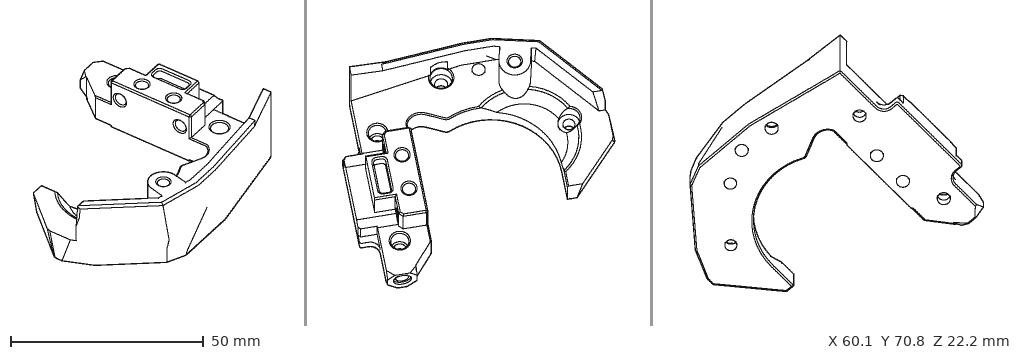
import cadquery as cq
import math

plate_top = 7.8
block_top = 15.2
wall_top = 18.9
wall_tip = 22.19
ridge_z = 10.7
heel_z = 5.3
edge_break = 0.45
base_z = edge_break
tool_size = 200.0
overlap = 1.0
tolerance = 0.1
core_point = (46.0, -40.0, 5.0)

bar_end_width = 7.8
bar_width = 13.1
bar_taper_start = 2.0
bar_taper_end = 8.5
top_corner_cut = (1.8, 1.9, 1.9)
base_corner_cut = (3.1, 3.1, 3.1)

side_x = 60.13
tip_x = 54.9
crest_y = -8.65
ridge_back = (side_x, -30.4, ridge_z)
side_foot = (59.7, -34.0, base_z)
ridge_front = (side_x, -37.8, ridge_z)
corner_toe = (59.7, -45.6, 1.7)
heel_right = (57.25, -50.85, heel_z)
heel_left = (42.6, -62.5, heel_z)
top_back = (58.3, ridge_back[1], wall_top)
top_mid = (58.3, -38.3, wall_top)
top_corner = (55.45, -50.3, wall_top)
top_left = (38.5, -64.15, 16.2)
foot_left = (35.1, -65.6, 2.5)
nose_y_top = -65.0
nose_y_base = -65.88
hook_x = 17.66
hook_corner_top = (hook_x, -54.7, plate_top)
hook_corner_base = (hook_x, -53.2, base_z)
hook_bevel_end = (28.9, -64.6, plate_top)
nose_left_top = (30.0, nose_y_top, plate_top)
nose_left_base = (32.3, nose_y_base, base_z)
nose_right_base = (34.2, nose_y_base, base_z)

wall_thickness = 2.45
wall_end_x = 37.9
wall_rim_break = 0.6

throat_center = (25.85, -32.0)
throat_radius = 18.65
throat_start_y = -23.6
throat_start = (throat_center[0] + math.sqrt(throat_radius**2 - (throat_start_y - throat_center[1])**2),
                throat_start_y)
throat_mid_angle = math.radians(-30)
throat_mid = (throat_center[0] + throat_radius * math.cos(throat_mid_angle),
              throat_center[1] + throat_radius * math.sin(throat_mid_angle))
throat_bottom = throat_center[1] - throat_radius
notch_start = (43.4, -bar_width)
notch_end = (45.15, -18.2)
nib_radius = 1.5
shoulder_radius = 0.5
rim_break = 0.35

recess_center = (33.95, -42.3)
recess_floor_z = 4.7
recess_floor_radius = 11.3
recess_top_radius = 14.5

block_left = 13.05
block_right = 38.5
block_back = -5.5
block_corner = 1.0
bolt_xs = (16.2, 35.1)
bolt_z = 10.2
head_diameter = 5.8
neck_left = bolt_xs[0] + head_diameter / 2
neck_right = bolt_xs[1] - head_diameter / 2
neck_back = -0.1
slot_center = ((neck_left + neck_right) / 2, -3.35)
slot_length = 10.0
slot_width = 3.2
slot_corner = 0.9
slot_depth = 3.0

tongue_back = 4.92
flange_left = 13.3
flange_right = 38.4
flange_top = 3.0
flange_fillet = 2.6
tongue_corner = 0.6
rail_left = 15.2
rail_right = 36.65

screw_diameter = 3.4
post_screw_diameter = 3.2
recess_screw_diameter = 3.1
insert_diameter = 4.7
insert_depth = 5.0
head_floor_z = 4.0
hole_bevel = 0.4
insert_centers = ((9.8, -5.0), (42.05, -5.0))
block_hole_centers = ((20.65, -9.43), (30.65, -9.43))
wall_screw_center = (54.9, -24.2)
wall_screw_clearance_z = 12.0
wall_hole_center = (55.5, -34.2)
recess_screw_center = (37.4, -54.7)
end_hole_center = (-3.9, 4.65)
end_hole_depth = 6.0
end_counterbore_depth = 0.6

post_center = (50.5, -42.8)
post_radius = 4.1
post_web_length = 12.0


def trim(solid, points, inset=0.0, core=core_point):
    """Keep the side of the plane through three points that holds the core; inset moves the plane inward."""
    a, b, c = (cq.Vector(*point) for point in points)
    normal = (b - a).cross(c - a).normalized()
    if (cq.Vector(*core) - a).dot(normal) > 0:
        normal = -normal
    plane = cq.Plane(origin=a - normal * inset, normal=normal)
    return solid.cut(cq.Workplane(plane).rect(tool_size, tool_size).extrude(tool_size))


def below(point):
    """The point on the plate underside level directly below the given one."""
    return (point[0], point[1], 0.0)


def box(x0, x1, y0, y1, z0, z1):
    return cq.Workplane("XY").box(x1 - x0, y1 - y0, z1 - z0, centered=False).translate((x0, y0, z0))


def cylinder(center, diameter, z0, z1):
    return cq.Workplane("XY").workplane(offset=z0).center(*center).circle(diameter / 2).extrude(z1 - z0)


def cone(center, z0, radius0, z1, radius1):
    solid = cq.Solid.makeCone(radius0, radius1, z1 - z0, cq.Vector(*center, z0))
    return cq.Workplane(obj=solid)


def bevelled_hole(center, diameter, z0, z1):
    """Vertical hole with a bevelled mouth at its top."""
    mouth = cone(center, z1 - hole_bevel, diameter / 2, z1, diameter / 2 + hole_bevel)
    return cylinder(center, diameter, z0, z1).union(mouth)


tip_base = (tip_x, 0.0, 0.0)
tip_crest = (tip_x, 0.0, wall_tip)
flank_planes = (
    (tip_base, tip_crest, ridge_back),
    (tip_crest, ridge_back, top_back),
    (ridge_back, ridge_front, side_foot),
    (ridge_back, ridge_front, top_back),
    (top_mid, top_corner, corner_toe),
    (corner_toe, heel_right, below(heel_right)),
    (heel_right, heel_left, top_corner),
    (heel_right, heel_left, below(heel_left)),
)

nose_planes = (
    (heel_left, top_left, foot_left),
    (nose_left_top, nose_left_base, nose_right_base),
    (hook_bevel_end, nose_left_top, nose_left_base),
    (hook_corner_top, hook_corner_base, hook_bevel_end),
)


def make_shell():
    """Faceted outer shape with the sloping crest of the wall, wider than the part to the left."""
    shell = box(-tool_size / 2, tool_size, -tool_size, tongue_back, 0, wall_tip)
    for points in flank_planes + nose_planes:
        shell = trim(shell, points)
    crest = (
        cq.Workplane("YZ")
        .polyline([
            (-tool_size, wall_top),
            (crest_y, wall_top),
            (0, wall_tip),
            (tongue_back, wall_tip),
            (tongue_back, tool_size),
            (-tool_size, tool_size),
        ])
        .close()
        .extrude(tool_size, both=True)
    )
    shell = shell.cut(crest)
    rim = shell.edges(cq.selectors.BoxSelector(
        (wall_end_x, nose_y_base, wall_top - tolerance),
        (side_x, crest_y - overlap, wall_top + tolerance)))
    return rim.chamfer(wall_rim_break)


def make_cavity():
    """Space inside the wall: the flank planes moved inward by the wall thickness."""
    cavity = box(-tool_size / 2, tool_size, -tool_size, tongue_back, 0, tool_size)
    for points in flank_planes:
        cavity = trim(cavity, points, wall_thickness)
    return cavity


def make_wall(shell):
    """Thin wall standing on the plate, between the shell and the cavity."""
    room = box(wall_end_x, side_x, nose_y_base, 0, plate_top - overlap, wall_tip)
    return shell.intersect(room).cut(make_cavity())


def make_plate(shell):
    """C-shaped base plate with the tongue, its outer side bounded by the shell."""
    outline = (
        cq.Workplane("XY")
        .moveTo(0, 0)
        .lineTo(side_x, 0)
        .lineTo(side_x, nose_y_base - overlap)
        .lineTo(hook_x, nose_y_base - overlap)
        .lineTo(hook_x, throat_bottom)
        .lineTo(throat_center[0], throat_bottom)
        .threePointArc(throat_mid, throat_start)
        .lineTo(*notch_end)
        .tangentArcPoint(notch_start, relative=False)
        .lineTo(bar_taper_end, -bar_width)
        .lineTo(bar_taper_start, -bar_end_width)
        .lineTo(0, -bar_end_width)
        .close()
    )
    plate = outline.extrude(plate_top)
    plate = plate.edges(cq.NearestToPointSelector((*throat_start, plate_top / 2))).fillet(nib_radius)
    plate = plate.edges(cq.NearestToPointSelector((*notch_start, plate_top / 2))).fillet(shoulder_radius)
    plate = plate.intersect(shell).union(make_tongue())
    plate = plate.faces("<Z").chamfer(edge_break)
    inner_side = cq.selectors.BoxSelector(
        (bar_taper_end, throat_bottom - overlap, plate_top - overlap),
        (notch_end[0] + overlap, -bar_width + tolerance, plate_top + overlap))
    return plate.faces(">Z").edges(inner_side).chamfer(rim_break)


def make_tongue():
    """Wide low flange with a narrower rail on top, flared where it leaves the bar."""
    def flare(x, direction):
        far_x = x + direction * flange_fillet
        corner = box(min(x, far_x), max(x, far_x), 0, flange_fillet, 0, flange_top)
        return corner.cut(cylinder((far_x, flange_fillet), 2 * flange_fillet, 0, flange_top))

    flange = box(flange_left, flange_right, -overlap, tongue_back, 0, flange_top)
    rail = box(rail_left, rail_right, -overlap, tongue_back, 0, plate_top)
    flange = flange.edges("|Z and >Y").fillet(tongue_corner)
    rail = rail.edges("|Z and >Y").chamfer(tongue_corner)
    return flange.union(rail).union(flare(flange_left, -1)).union(flare(flange_right, 1))


def make_recess():
    """Conical recess with a bevelled rim."""
    bowl = cone(recess_center, recess_floor_z, recess_floor_radius, plate_top, recess_top_radius)
    rim = cone(recess_center, plate_top - rim_break, recess_top_radius - rim_break,
               plate_top, recess_top_radius + rim_break)
    return bowl.union(rim)


def make_block():
    """Raised block with a narrower neck behind it."""
    front = box(block_left, block_right, -bar_width, block_back, 0, block_top)
    front = front.edges("|Z and >Y").chamfer(block_corner)
    front = front.edges("|Z and <Y").chamfer(edge_break)
    neck = box(neck_left, neck_right, block_back - overlap, neck_back, 0, block_top)
    block = front.union(neck)
    return block.faces(">Z").edges("not >Y").chamfer(edge_break)


def make_post():
    """Screw post tied to the wall by a web square to the wall's corner facet."""
    edge = (cq.Vector(*top_corner) - cq.Vector(*top_mid)).normalized()
    web_angle = math.degrees(math.atan2(edge.x, -edge.y))
    web = box(0, post_web_length, -post_radius, post_radius, recess_floor_z, wall_top)
    web = web.rotate((0, 0, 0), (0, 0, 1), web_angle).translate((*post_center, 0))
    return cylinder(post_center, 2 * post_radius, recess_floor_z, wall_top).union(web)


def bolt_cut(x):
    """Horizontal bolt hole through the block with a head clearance trough behind it."""
    def rod(diameter, y_front, y_back):
        return cq.Workplane("XZ", origin=(x, y_back, bolt_z)).circle(diameter / 2).extrude(y_back - y_front)

    mouth_radius = screw_diameter / 2
    mouth_center = cq.Vector(x, -bar_width, bolt_z)
    backward = cq.Vector(0, 1, 0)
    bevel = cq.Solid.makeCone(mouth_radius + hole_bevel, mouth_radius, hole_bevel, mouth_center, backward)
    mouth = cq.Workplane(obj=bevel)
    hole = rod(screw_diameter, -bar_width, block_back).union(mouth)
    return hole.union(rod(head_diameter, block_back, tongue_back))


def make_slot():
    """Shallow rounded pocket in the top of the neck."""
    pocket = (
        cq.Workplane("XY", origin=(*slot_center, block_top - slot_depth))
        .rect(slot_length, slot_width)
        .extrude(slot_depth)
        .edges("|Z")
        .fillet(slot_corner)
    )
    bevel_taper = -45.0
    rim = (
        cq.Workplane("XY", origin=(*slot_center, block_top - edge_break))
        .sketch()
        .rect(slot_length, slot_width)
        .vertices()
        .fillet(slot_corner)
        .finalize()
        .extrude(edge_break, taper=bevel_taper)
    )
    return pocket.union(rim)


def cut_bar_end(part):
    """Trim the four corners of the bar end and drill it lengthwise."""
    for y, inward in ((0, -1), (-bar_end_width, 1)):
        for z, rise, setback in ((0, 1, base_corner_cut), (plate_top, -1, top_corner_cut)):
            x_in = setback[0]
            y_in = y + inward * setback[1]
            z_in = z + rise * setback[2]
            corner = box(0, x_in, min(y, y_in), max(y, y_in), min(z, z_in), max(z, z_in))
            kept = trim(corner, ((x_in, y, z), (0, y_in, z), (0, y, z_in)), core=(x_in, y_in, z_in))
            part = part.cut(corner.cut(kept))
    drill = cq.Workplane("YZ").center(*end_hole_center)
    part = part.cut(drill.circle(screw_diameter / 2).extrude(end_hole_depth))
    return part.cut(drill.circle(insert_diameter / 2).extrude(end_counterbore_depth))


def drill_holes(part):
    """All the screw holes except the one under the wall and the one in the bar end."""
    for x in bolt_xs:
        part = part.cut(bolt_cut(x))
    for center in insert_centers:
        part = part.cut(cylinder(center, screw_diameter, 0, plate_top))
        part = part.cut(bevelled_hole(center, insert_diameter, plate_top - insert_depth, plate_top))
    for center in block_hole_centers:
        part = part.cut(bevelled_hole(center, screw_diameter, 0, block_top))
    part = part.cut(bevelled_hole(post_center, post_screw_diameter, 0, wall_top))
    part = part.cut(cylinder(wall_hole_center, screw_diameter, 0, plate_top))
    part = part.cut(cylinder(recess_screw_center, recess_screw_diameter, 0, plate_top))
    return part.cut(bevelled_hole(recess_screw_center, head_diameter, head_floor_z, plate_top))


def cut_wall_screw(part):
    """Counterbored hole under the leaning wall, its head clearance ending in a cone inside the wall."""
    part = part.cut(cylinder(wall_screw_center, screw_diameter, 0, plate_top))
    part = part.cut(bevelled_hole(wall_screw_center, head_diameter, head_floor_z, plate_top))
    part = part.cut(cylinder(wall_screw_center, head_diameter, plate_top, wall_screw_clearance_z))
    cone_top = wall_screw_clearance_z + head_diameter / 2
    return part.cut(cone(wall_screw_center, wall_screw_clearance_z, head_diameter / 2, cone_top, 0))


shell = make_shell()
plate = make_plate(shell).cut(make_recess())
part = plate.union(make_wall(shell)).union(make_post().intersect(shell)).union(make_block())
part = drill_holes(part)
part = cut_wall_screw(part)
part = part.cut(make_slot())
result = cut_bar_end(part)